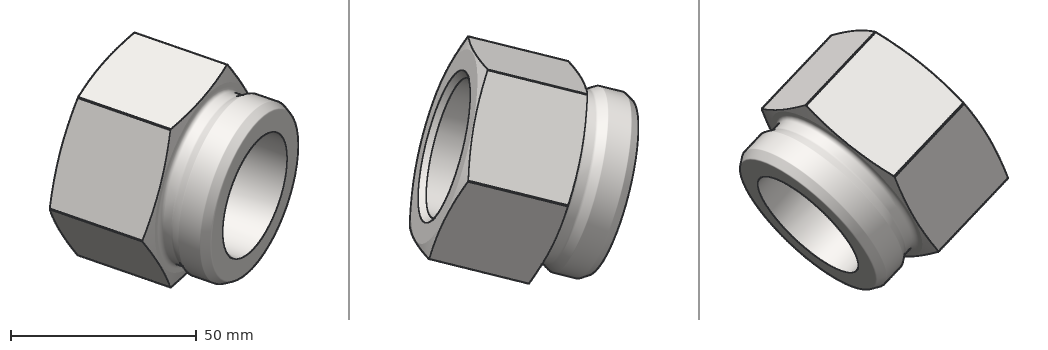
import cadquery as cq
import math

TOTAL_LENGTH = 47.0
HEX_LENGTH = 31.0

ACROSS_FLATS = 55.0
CORNER_DIAMETER = 63.3
HEX_FACE_DIAMETER = 54.0
HEX_CHAMFER_ANGLE = 15.0

NECK_DIAMETER = 48.9
COLLAR_DIAMETER = 52.0
COLLAR_START = 37.65
COLLAR_END_CHAMFER = 2.6
NECK_FILLET = 1.2
COLLAR_EDGE_FILLET = 0.5
CONE_ANGLE = 30.0

MOUTH_DIAMETER = 42.35
SOCKET_DIAMETER = 38.9
SHOULDER_DIAMETER = 36.85
BORE_DIAMETER = 36.0
MOUTH_DEPTH = (MOUTH_DIAMETER - SOCKET_DIAMETER) / 2
SOCKET_DEPTH = 27.0


def revolve_about_x(profile):
    """Turn a closed (x, radius) profile about the X axis."""
    return profile.close().revolve(360, (0, 0, 0), (1, 0, 0))


def make_hexagon():
    """Hexagonal prism with two flats facing +Z and -Z and chamfered corners."""
    across_corners = ACROSS_FLATS / math.cos(math.radians(30))
    prism = cq.Workplane("YZ").polygon(6, across_corners).extrude(HEX_LENGTH)
    face_radius = HEX_FACE_DIAMETER / 2
    corner_radius = CORNER_DIAMETER / 2
    chamfer = (corner_radius - face_radius) * math.tan(math.radians(HEX_CHAMFER_ANGLE))
    envelope = revolve_about_x(
        cq.Workplane("XY")
        .moveTo(0, 0)
        .lineTo(0, face_radius)
        .lineTo(chamfer, corner_radius)
        .lineTo(HEX_LENGTH - chamfer, corner_radius)
        .lineTo(HEX_LENGTH, face_radius)
        .lineTo(HEX_LENGTH, 0)
    )
    return prism.intersect(envelope)


def make_collar():
    """Necked collar: root fillet, neck, blended cone, band and end chamfer."""
    neck_radius = NECK_DIAMETER / 2
    band_radius = COLLAR_DIAMETER / 2
    slope = math.radians(CONE_ANGLE)
    arc_center_radius = neck_radius + NECK_FILLET

    def arc_point(tangent_x, angle):
        """Point on a neck fillet, at an angle from its lowest point."""
        return (
            tangent_x + NECK_FILLET * math.sin(angle),
            arc_center_radius - NECK_FILLET * math.cos(angle),
        )

    root_angle = math.radians(90)
    neck_start = HEX_LENGTH + NECK_FILLET
    cone_foot = COLLAR_START - (band_radius - neck_radius) / math.tan(slope)
    neck_end = cone_foot - NECK_FILLET * math.tan(slope / 2)
    end_radius = band_radius - COLLAR_END_CHAMFER * math.tan(slope)

    collar = revolve_about_x(
        cq.Workplane("XY")
        .moveTo(HEX_LENGTH, 0)
        .lineTo(*arc_point(neck_start, -root_angle))
        .threePointArc(arc_point(neck_start, -root_angle / 2), (neck_start, neck_radius))
        .lineTo(neck_end, neck_radius)
        .threePointArc(arc_point(neck_end, slope / 2), arc_point(neck_end, slope))
        .lineTo(COLLAR_START, band_radius)
        .lineTo(TOTAL_LENGTH - COLLAR_END_CHAMFER, band_radius)
        .lineTo(TOTAL_LENGTH, end_radius)
        .lineTo(TOTAL_LENGTH, 0)
    )
    margin = 0.65
    band_edges = cq.selectors.BoxSelector(
        (COLLAR_START - margin, -margin, -margin),
        (TOTAL_LENGTH + margin, margin, margin),
    )
    return collar.edges("%CIRCLE").edges(band_edges).fillet(COLLAR_EDGE_FILLET)


def make_bore():
    """Through bore with a conical mouth, a socket and a tapered shoulder edge."""
    shoulder_chamfer = (SHOULDER_DIAMETER - BORE_DIAMETER) / 2
    return revolve_about_x(
        cq.Workplane("XY")
        .moveTo(0, 0)
        .lineTo(0, MOUTH_DIAMETER / 2)
        .lineTo(MOUTH_DEPTH, SOCKET_DIAMETER / 2)
        .lineTo(SOCKET_DEPTH, SOCKET_DIAMETER / 2)
        .lineTo(SOCKET_DEPTH, SHOULDER_DIAMETER / 2)
        .lineTo(SOCKET_DEPTH + shoulder_chamfer, BORE_DIAMETER / 2)
        .lineTo(TOTAL_LENGTH, BORE_DIAMETER / 2)
        .lineTo(TOTAL_LENGTH, 0)
    )


result = make_hexagon().union(make_collar()).cut(make_bore())